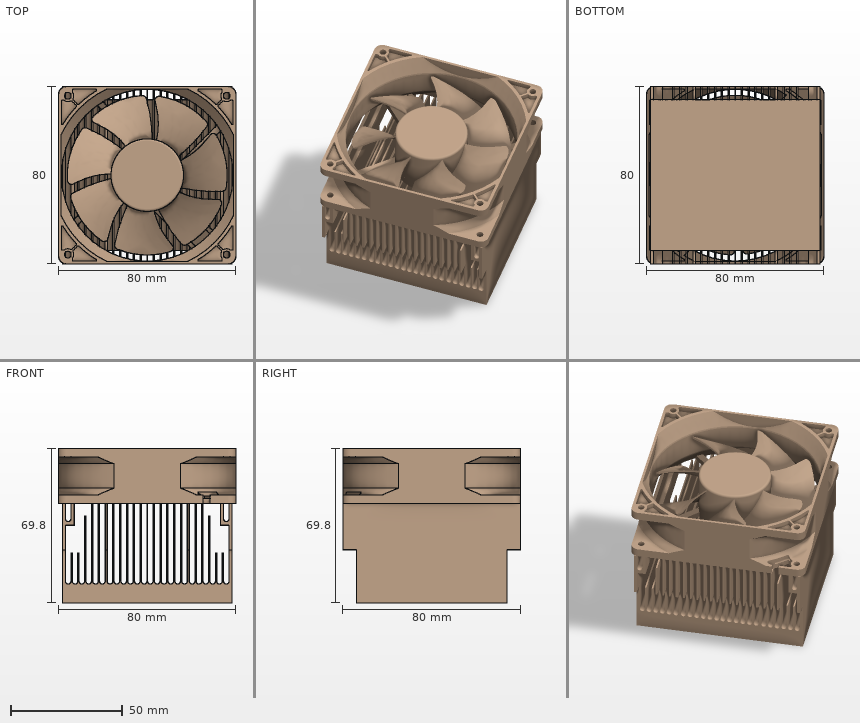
import cadquery as cq
import math

sink_width = 76.5
sink_height = 44.8
base_depth = 68.0
wing_depth = 80.0
wing_bottom = 24.0
side_wall = 1.4
slot_floor = 8.6
slot_width = 2.4
slot_count = 24
wide_fin = 1.0
centre_fin = 0.4
wide_fin_places = (6, 18)
centre_fin_place = slot_count // 2
low_fin_top = 22.5
mid_fin_top = 39.3
screw_boss_width = 3.9
screw_boss_bottom = 35.0
screw_slot_floor = 36.8

frame_side = 80.0
frame_height = 25.0
frame_bottom = sink_height
frame_top = frame_bottom + frame_height
corner_radius = 3.6
flange = 3.9
waist_radius = 42.7
waist_cone = 3.0
throat_radius = 77.3 / 2
mouth_radius = 42.9
mouth_depth = 6.6
throat_round = 1.3
mouth_square = 77.8
hole_pitch = 71.5
hole_diameter = 3.0
pocket_depth = 2.6
pocket_edge = 38.7
pocket_arc = 44.4
boss_radius = 2.6
boss_block = 33.8
pocket_rib = 0.8
pocket_round = 0.4
cable_cut_height = 5.9
cable_mouth_left = 25.0
cable_mouth_right = 28.3

hub_radius = 32.7 / 2
mount_height = 3.2
strut_height = 2.4
strut_width = 3.0
channel_turn = -45.0
channel_bottom = frame_bottom + strut_height
strut_offset = 7.8
channel_right = 1.3
channel_wall = 2.0
channel_depth = 1.1

hub_bottom = frame_bottom + mount_height
hub_top = 66.8
hub_round = 1.0
blade_count = 7
blade_middle = -43.0
blade_radii = (15.2, 25.6, 36.0)
leading_angles = (15.5, 19.0, 26.5)
trailing_angles = (-30.0, -24.7, -20.0)
blade_top = 65.6
blade_low = 50.0
blade_thickness = 1.0
blade_camber = 0.4
blade_tip_round = 2.0
section_places = (12.8, 24.2, 36.8)
section_leads = (3.5, 8.6, 20.2)
section_trails = (-7.4, -10.9, -12.8)


def box_between(x0, x1, y0, y1, z0, z1):
    return cq.Workplane("XY").box(x1 - x0, y1 - y0, z1 - z0, centered=False).translate((x0, y0, z0))


def disc(radius, bottom, height):
    return cq.Workplane("XY").workplane(offset=bottom).circle(radius).extrude(height)


inner_half = sink_width / 2 - side_wall
special_fins = len(wide_fin_places) * wide_fin + centre_fin
plain_fin_count = slot_count - 1 - len(wide_fin_places) - 1
plain_fin = (2 * inner_half - slot_count * slot_width - special_fins) / plain_fin_count


def fin_width(place):
    if place in wide_fin_places:
        return wide_fin
    if place == centre_fin_place:
        return centre_fin
    return plain_fin


def round_slot(left, floor):
    """Slot along Y with a half-round floor, open at the top."""
    radius = slot_width / 2
    return (
        cq.Workplane("XZ")
        .moveTo(left, sink_height)
        .lineTo(left, floor + radius)
        .threePointArc((left + radius, floor), (left + slot_width, floor + radius))
        .lineTo(left + slot_width, sink_height)
        .close()
        .extrude(wing_depth / 2, both=True)
    )


def build_heatsink():
    half = sink_width / 2
    wing = wing_depth / 2
    base = base_depth / 2
    body = box_between(-half, half, -base, base, 0, sink_height)
    body = body.union(box_between(-half, half, -wing, wing, wing_bottom, sink_height))

    left = -inner_half
    fins_left = []
    slots = []
    for place in range(1, slot_count + 1):
        slots.append(round_slot(left, slot_floor).val())
        left += slot_width
        fins_left.append(left)
        left += fin_width(place)
    body = body.cut(cq.Workplane(obj=cq.Compound.makeCompound(slots)))

    low_reach = fins_left[2] - slot_width / 2
    mid_reach = fins_left[3] - slot_width / 2
    for start, end, top in ((-inner_half, low_reach, low_fin_top), (low_reach, mid_reach, mid_fin_top)):
        body = body.cut(box_between(start, end, -wing, wing, top, sink_height))
        body = body.cut(box_between(-end, -start, -wing, wing, top, sink_height))

    boss_end = screw_boss_width - inner_half
    boss = box_between(-inner_half, boss_end, -wing, wing, screw_boss_bottom, sink_height)
    boss = boss.cut(round_slot(-inner_half, screw_slot_floor))
    return body.union(boss).union(boss.mirror("YZ"))


def frame_shell():
    """Square block whose corners are turned down to the duct between the flanges."""
    block = (
        cq.Workplane("XY").workplane(offset=frame_bottom)
        .rect(frame_side, frame_side).extrude(frame_height)
        .edges("|Z").fillet(corner_radius)
    )
    foot_radius = waist_radius + waist_cone
    low = frame_bottom + flange
    high = frame_top - flange
    waist = (
        cq.Workplane("XZ")
        .moveTo(frame_side, low)
        .lineTo(foot_radius, low)
        .lineTo(waist_radius, low + waist_cone)
        .lineTo(waist_radius, high - waist_cone)
        .lineTo(foot_radius, high)
        .lineTo(frame_side, high)
        .close()
        .revolve(360, (0, 0, 0), (0, 1, 0))
    )
    return block.cut(waist)


def duct_space():
    """Air passage: a round throat with a flared mouth at each end, trimmed by flats."""
    passage = (
        cq.Workplane("XZ")
        .moveTo(0, frame_bottom)
        .lineTo(mouth_radius, frame_bottom)
        .lineTo(throat_radius, frame_bottom + mouth_depth)
        .lineTo(throat_radius, frame_top - mouth_depth)
        .lineTo(mouth_radius, frame_top)
        .lineTo(0, frame_top)
        .close()
        .revolve(360, (0, 0, 0), (0, 1, 0))
    )
    passage = passage.edges(cq.selectors.RadiusNthSelector(0)).fillet(throat_round)
    trim = (
        cq.Workplane("XY").workplane(offset=frame_bottom)
        .rect(mouth_square, mouth_square).extrude(frame_height)
    )
    return passage.intersect(trim)


def corner_pockets(bottom, height):
    """The two pockets of the +X +Y corner, either side of a diagonal rib."""
    hole = hole_pitch / 2
    pocket = box_between(0, pocket_edge, 0, pocket_edge, bottom, bottom + height)
    pocket = pocket.cut(disc(pocket_arc, bottom, height))
    pocket = pocket.cut(disc(boss_radius, bottom, height).translate((hole, hole, 0)))
    pocket = pocket.cut(box_between(boss_block, frame_side, boss_block, frame_side, bottom, bottom + height))
    rib = box_between(0, frame_side, -pocket_rib / 2, pocket_rib / 2, bottom, bottom + height)
    pocket = pocket.cut(rib.rotate((0, 0, 0), (0, 0, 1), 45))
    return pocket.edges("|Z").fillet(pocket_round)


def cable_exit():
    """One pocket of the +X -Y corner goes right through the lower flange, with a mouth in its edge."""
    pair = corner_pockets(frame_bottom, cable_cut_height).rotate((0, 0, 0), (0, 0, 1), -90)
    opening = pair.solids("<Y")
    mouth = box_between(cable_mouth_left, cable_mouth_right, -frame_side / 2, -pocket_edge,
                        frame_bottom, frame_bottom + flange)
    return opening.union(mouth)


def cable_channel():
    """Straight channel from the motor out into the cable pocket."""
    left = channel_wall - strut_offset - strut_width / 2
    channel = box_between(hub_radius, waist_radius + waist_cone, left, channel_right,
                          channel_bottom, channel_bottom + channel_depth)
    return channel.rotate((0, 0, 0), (0, 0, 1), channel_turn)


def motor_mount():
    """Disc under the motor, carried by four struts; the widest one holds the cable channel."""
    reach = frame_side / 2 * math.sqrt(2)
    mount = disc(hub_radius, frame_bottom, mount_height)
    strut = box_between(0, reach, -strut_offset - strut_width / 2, -strut_offset + strut_width / 2,
                        frame_bottom, frame_bottom + strut_height)
    for turn in (45, 135, 225, 315):
        mount = mount.union(strut.rotate((0, 0, 0), (0, 0, 1), turn))

    tray_left = -strut_offset - strut_width / 2
    tray = box_between(0, reach, tray_left, channel_right + channel_wall,
                       frame_bottom, channel_bottom + channel_depth)
    tray = tray.rotate((0, 0, 0), (0, 0, 1), channel_turn)
    mount = mount.union(tray.cut(disc(hub_radius, frame_bottom, frame_height)))
    return mount.cut(cable_channel()).intersect(duct_space())


def build_frame():
    frame = frame_shell().cut(duct_space())
    for bottom in (frame_bottom, frame_top - pocket_depth):
        pockets = corner_pockets(bottom, pocket_depth)
        for turn in range(0, 360, 90):
            frame = frame.cut(pockets.rotate((0, 0, 0), (0, 0, 1), turn))
    frame = frame.cut(cable_exit()).cut(cable_channel())
    holes = (
        cq.Workplane("XY").workplane(offset=frame_bottom)
        .rect(hole_pitch, hole_pitch, forConstruction=True).vertices()
        .circle(hole_diameter / 2).extrude(frame_height)
    )
    return frame.cut(holes).union(motor_mount())


def polar(radius, angle):
    return (radius * math.cos(math.radians(angle)), radius * math.sin(math.radians(angle)))


def blade_planform():
    """Outline of a blade seen along the axis, pointing along +X, as a tall prism."""
    leading = [polar(r, a) for r, a in zip(blade_radii, leading_angles)]
    trailing = [polar(r, a) for r, a in zip(blade_radii, trailing_angles)]
    tip = blade_radii[-1]
    return (
        cq.Workplane("XY").workplane(offset=frame_bottom)
        .moveTo(*trailing[0])
        .threePointArc(trailing[1], trailing[2])
        .threePointArc((tip, 0), leading[2])
        .threePointArc(leading[1], leading[0])
        .close()
        .extrude(frame_height)
        .edges("|Z").edges(cq.selectors.BoxSelector((tip / 2, -tip, 0), (tip, tip, frame_top)))
        .fillet(blade_tip_round)
    )


def blade_section(place, trail, lead):
    """Curved strip rising from the trailing to the leading side, across the blade."""
    middle = (trail + lead) / 2
    height = (blade_low + blade_top) / 2 - blade_camber
    return (
        cq.Workplane("YZ").workplane(offset=place)
        .moveTo(trail, blade_low)
        .threePointArc((middle, height), (lead, blade_top))
        .lineTo(lead, blade_top - blade_thickness)
        .threePointArc((middle, height - blade_thickness), (trail, blade_low - blade_thickness))
        .close().wires().val()
    )


def build_blade():
    sections = [blade_section(*ends) for ends in zip(section_places, section_trails, section_leads)]
    sheet = cq.Workplane(obj=cq.Solid.makeLoft(sections))
    return sheet.intersect(blade_planform())


def build_impeller():
    impeller = disc(hub_radius, hub_bottom, hub_top - hub_bottom).faces(">Z").edges().fillet(hub_round)
    blade = build_blade()
    for index in range(blade_count):
        turn = blade_middle + index * 360 / blade_count
        impeller = impeller.union(blade.rotate((0, 0, 0), (0, 0, 1), turn))
    return impeller


heatsink = build_heatsink()
fan_frame = build_frame()
impeller = build_impeller()

result = cq.Compound.makeCompound([
    heatsink.solids().val(),
    fan_frame.solids().val(),
    impeller.solids().val(),
])